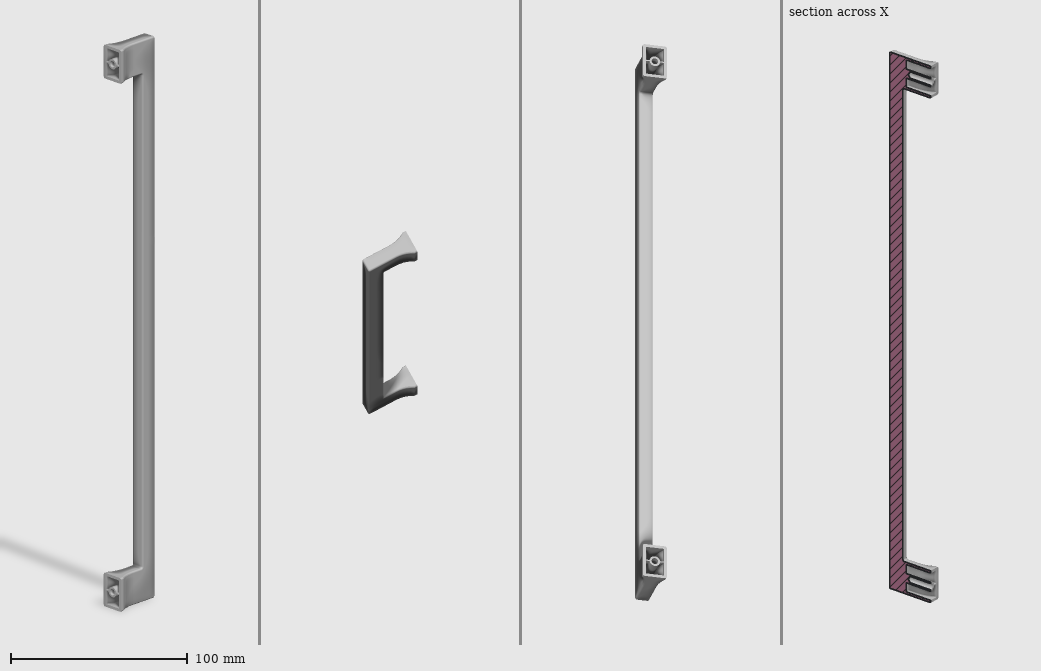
import cadquery as cq
import math

length = 340.0
height = 30.0
foot_width = 14.0

bar_width = 8.0
bar_depth = 10.0
edge_radius = 1.0
inner_corner_radius = 1.0

foot_length = 20.5
base_band = 2.0
flare_start = 12.2

wall = 1.7
pocket_depth = 17.7
boss_diameter = 6.0
rib_thickness = 0.7

hole_diameter = 3.7
hole_depth = 15.0
tip_angle = 118.0

grip_underside = height - bar_depth
foot_offset = (length - foot_length) / 2


def foot_outline(inset, top):
    """Closed XY outline from the base to y = top, with all sides moved in by inset."""
    half_base = foot_width / 2 - inset
    half_neck = bar_width / 2 - inset
    flare_run = half_base - half_neck
    flare_rise = flare_start - base_band
    radius = (flare_run**2 + flare_rise**2) / (2 * flare_run)
    half_sweep = math.asin(flare_rise / radius) / 2
    mid_x = half_neck + radius * (1 - math.cos(half_sweep))
    mid_y = flare_start - radius * math.sin(half_sweep)
    return (
        cq.Workplane("XY")
        .moveTo(-half_base, 0)
        .lineTo(half_base, 0)
        .lineTo(half_base, base_band)
        .threePointArc((mid_x, mid_y), (half_neck, flare_start))
        .lineTo(half_neck, top)
        .lineTo(-half_neck, top)
        .lineTo(-half_neck, flare_start)
        .threePointArc((-mid_x, mid_y), (-half_base, base_band))
        .close()
    )


def handle_body():
    """Flared profile over the full length, cleared between the feet to leave the bar."""
    body = foot_outline(0, height).extrude(length / 2, both=True)
    clearance = (
        cq.Workplane("XY")
        .box(2 * foot_width, grip_underside, length - 2 * foot_length, centered=(True, False, True))
        .edges("|X and >Y")
        .fillet(inner_corner_radius)
    )
    body = body.cut(clearance)
    outer_edges = cq.selectors.StringSyntaxSelector("(not |X) or >Y")
    along_z = cq.selectors.ParallelDirSelector(cq.Vector(0, 0, 1))
    below_neck = cq.selectors.BoxSelector(
        (-foot_width, -base_band, -length),
        (foot_width, (flare_start + grip_underside) / 2, length),
    )
    return body.edges(outer_edges - (along_z & below_neck)).fillet(edge_radius)


def foot_pocket():
    """Hollow of one foot, centred on z = 0, with the boss and cross rib left standing."""
    pocket = foot_outline(wall, pocket_depth).extrude(foot_length / 2 - wall, both=True)
    boss = cq.Workplane("XZ").circle(boss_diameter / 2).extrude(-pocket_depth)
    rib = cq.Workplane("XY").box(foot_width, pocket_depth, rib_thickness, centered=(True, False, True))
    return pocket.cut(boss).cut(rib)


def screw_hole():
    """Blind hole along +Y, centred on z = 0, ending in a cone."""
    radius = hole_diameter / 2
    tip = radius / math.tan(math.radians(tip_angle / 2))
    return (
        cq.Workplane("XY")
        .polyline([(0, 0), (radius, 0), (radius, hole_depth), (0, hole_depth + tip)])
        .close()
        .revolve(360, (0, 0, 0), (0, 1, 0))
    )


result = handle_body()
for z in (-foot_offset, foot_offset):
    result = result.cut(foot_pocket().translate((0, 0, z)))
    result = result.cut(screw_hole().translate((0, 0, z)))